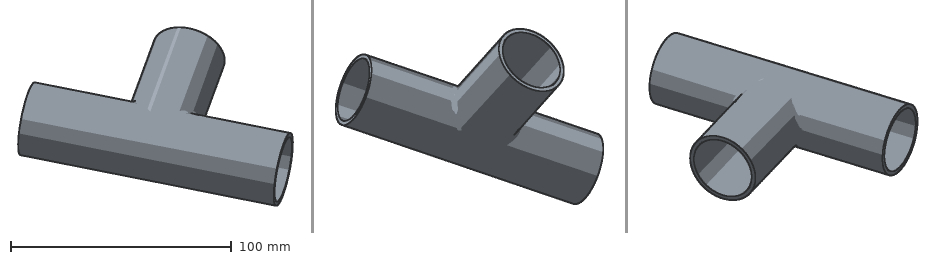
import cadquery as cq

run_length = 120.0
outer_diameter = 33.7
bore_diameter = 29.8
overall_depth = 74.9
crotch_radius = 2.0

branch_length = overall_depth - outer_diameter / 2

run_section = cq.Plane(origin=(0, 0, 0), xDir=(0, 0, -1), normal=(1, 0, 0))


def tee(diameter):
    """Solid run and branch joined at one diameter."""
    run = cq.Workplane(run_section).circle(diameter / 2).extrude(run_length / 2, both=True)
    branch = cq.Workplane("XZ").circle(diameter / 2).extrude(-branch_length)
    return run.union(branch)


def round_crotch(body):
    """Fillet the mitred edges where the run and branch surfaces meet."""
    return body.edges("%ELLIPSE").fillet(crotch_radius)


result = round_crotch(tee(outer_diameter)).cut(tee(bore_diameter))